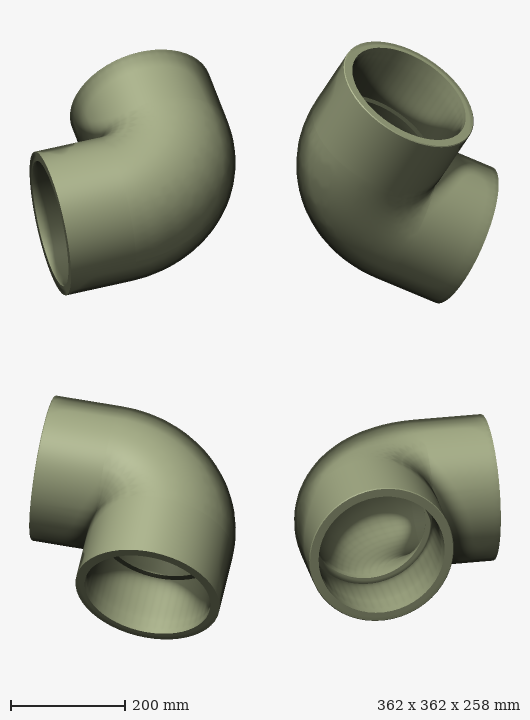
import cadquery as cq

overall = 362.0
outer_diameter = 258.0
socket_diameter = 225.0
bore_diameter = 202.7
arm_length = 118.7
rim_chamfer = 1.5

outer_radius = outer_diameter / 2
axis_offset = overall - outer_radius
bend_radius = axis_offset - arm_length


def x_cylinder(diameter, length):
    """Cylinder on the axis of the -X arm, starting at its open end."""
    return (
        cq.Workplane("YZ")
        .center(axis_offset, 0)
        .circle(diameter / 2)
        .extrude(length)
    )


def y_cylinder(diameter, length):
    """Cylinder on the axis of the -Y arm, starting at its open end."""
    return (
        cq.Workplane("XZ")
        .center(axis_offset, 0)
        .circle(diameter / 2)
        .extrude(-length)
    )


def passage_bend():
    """Quarter turn of the round bore between the two arms."""
    return (
        cq.Workplane("XZ", origin=(arm_length, arm_length, 0))
        .center(bend_radius, 0)
        .circle(bore_diameter / 2)
        .revolve(90, (-bend_radius, 0), (-bend_radius, 1))
    )


def outer_bend():
    """Quarter turn of the outer section, which is cut flat where it meets the bend axis."""
    half_flat = (outer_radius**2 - bend_radius**2) ** 0.5
    return (
        cq.Workplane("XZ", origin=(arm_length, arm_length, 0))
        .moveTo(0, -half_flat)
        .threePointArc((bend_radius, -outer_radius), (bend_radius + outer_radius, 0))
        .threePointArc((bend_radius, outer_radius), (0, half_flat))
        .close()
        .revolve(90, (0, 0), (0, 1))
    )


x_arm = x_cylinder(outer_diameter, arm_length).faces("<X").edges().chamfer(rim_chamfer)
y_arm = y_cylinder(outer_diameter, arm_length)
body = x_arm.union(y_arm).union(outer_bend(), clean=False)

sockets = x_cylinder(socket_diameter, arm_length).union(y_cylinder(socket_diameter, arm_length))

result = body.cut(passage_bend()).cut(sockets)